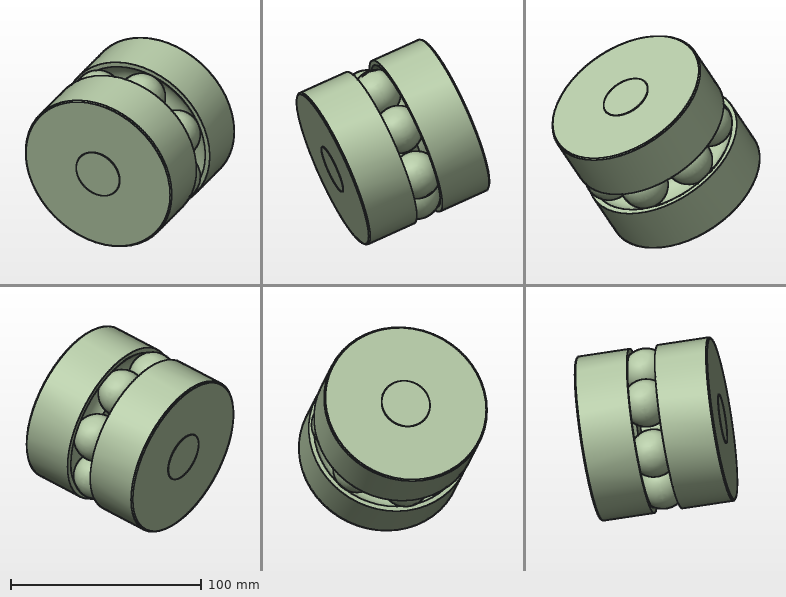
import cadquery as cq

front_ring_diameter = 87.3
rear_ring_diameter = 87.0
ring_gap = 15.0
ring_thickness = 27.95
rim_chamfer = 0.7

ball_count = 7
ball_diameter = 25.15
pitch_radius = 30.7
first_ball_angle = 180.0

head_diameter = 25.8
head_recess_diameter = 26.0
head_depth = 3.5
head_projection = 0.3
rod_diameter = 7.95
rod_hole_diameter = 8.2

inner_face = ring_gap / 2
outer_face = inner_face + ring_thickness
recess_floor = outer_face - head_depth
head_top = outer_face + head_projection


def cylinder_along_y(diameter, start, end):
    """Cylinder on the Y axis between two Y positions, start below end."""
    return cq.Workplane("XZ", origin=(0, end, 0)).circle(diameter / 2).extrude(end - start)


def make_raceway():
    """Torus swept by a ball rolling round the pitch circle."""
    profile = cq.Workplane("XY").center(pitch_radius, 0).circle(ball_diameter / 2)
    return profile.revolve(360, (-pitch_radius, 0, 0), (-pitch_radius, 1, 0))


def make_ring(diameter):
    """Ring on the +Y side with a chamfered outer rim, raceway, axle hole and head recess."""
    ring = cylinder_along_y(diameter, inner_face, outer_face)
    ring = ring.faces(">Y").chamfer(rim_chamfer)
    ring = ring.cut(make_raceway())
    ring = ring.cut(cylinder_along_y(rod_hole_diameter, inner_face, outer_face))
    return ring.cut(cylinder_along_y(head_recess_diameter, recess_floor, outer_face))


def make_balls():
    """Equally spaced separate balls on the pitch circle in the XZ plane."""
    balls = []
    for index in range(ball_count):
        angle = first_ball_angle + index * 360 / ball_count
        ball = cq.Workplane("XY").sphere(ball_diameter / 2).translate((pitch_radius, 0, 0))
        balls.append(ball.rotate((0, 0, 0), (0, 1, 0), angle).val())
    return balls


def make_axle():
    """Rod through both rings joined to a head at each end."""
    rod = cylinder_along_y(rod_diameter, -recess_floor, recess_floor)
    rear_head = cylinder_along_y(head_diameter, recess_floor, head_top)
    front_head = cylinder_along_y(head_diameter, -head_top, -recess_floor)
    return rod.union(rear_head).union(front_head)


rear_ring = make_ring(rear_ring_diameter)
front_ring = make_ring(front_ring_diameter).mirror("XZ")
axle = make_axle()
balls = make_balls()

result = cq.Compound.makeCompound([front_ring.val(), rear_ring.val(), axle.val(), *balls])